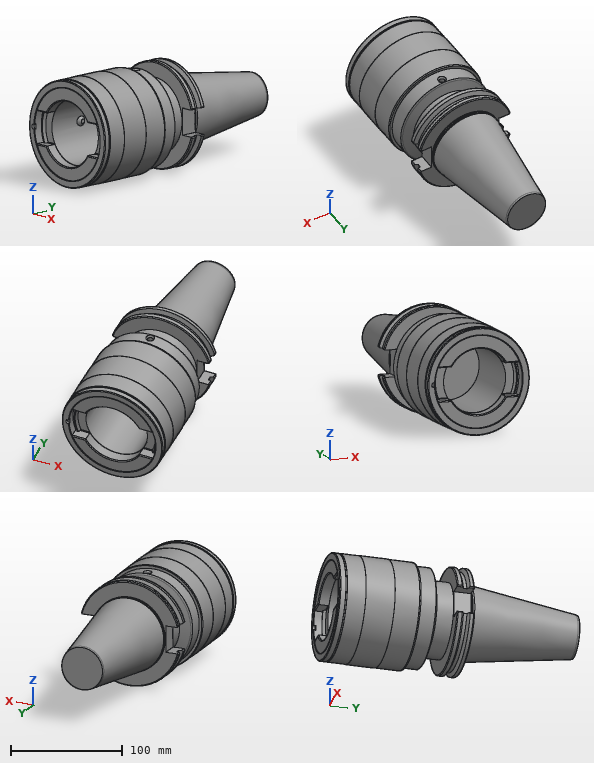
import cadquery as cq
import math

LENGTH = 230.2

BODY_RADIUS = 49.0
BODY_END = 75.3
NOSE_CHAMFER = 0.8
BODY_END_CHAMFER_LENGTH = 1.4
BODY_END_CHAMFER_DROP = 0.5
BAND_RADIUS = 49.3
BAND_START = 24.2
BAND_END = 51.0
RING_GROOVE_START = 5.5
RING_GROOVE_WIDTH = 1.4
RING_GROOVE_DEPTH = 0.35

COLLAR_RADIUS = 46.0
COLLAR_END = 89.8
SHOULDER_RADIUS = 44.6
SHOULDER_END = 90.7
NECK_RADIUS = 35.0
NECK_START = 93.7

FLANGE_RADIUS = 49.3
FLANGE_START = 109.0
FLANGE_END = 125.2
FLANGE_CHAMFER = 1.0
V_FLOOR_RADIUS = 45.5
V_FLOOR_START = 115.8
V_FLOOR_END = 119.0
V_HALF_ANGLE = 30.0
V_WALL_WIDTH = (FLANGE_RADIUS - V_FLOOR_RADIUS) * math.tan(math.radians(V_HALF_ANGLE))

DRIVE_HALF_WIDTH = 12.5
DRIVE_FLOOR = 35.5
DRIVE_CHAMFER = 1.4

TAPER_START = 128.7
TAPER_RADIUS = 35.0
TAPER_SLOPE = 7 / 24 / 2
TIP_CHAMFER_LENGTH = 1.8
TIP_CHAMFER_DROP = 0.5
RELIEF_RADIUS = 34.3
RELIEF_START = 126.5
RELIEF_END = 127.3
LIP_END = 126.0

BORE_RADIUS = 30.0
BORE_DEPTH = 73.6
PLATE_BORE_RADIUS = 30.1
PLATE_BORE_CHAMFER = 1.0
PLATE_RADIUS = 42.1
PLATE_GROOVE_WIDTH = 0.58

KEYWAY_DEPTH = 10.1
KEYWAY_HALF_WIDTH = 15.2
KEYWAY_CHAMFER = 1.0
KEYWAY_CORNER = 0.7
RIDGE_BASE_RADIUS = 37.7
RIDGE_TOP_INNER_RADIUS = 39.4
RIDGE_TOP_OUTER_RADIUS = 40.3
RIDGE_TOP_DEPTH = 7.4
RIDGE_BACK_DEPTH = 8.7

PIN_HOLE_RADIUS = 2.3
PIN_HOLE_PLACE = -42.8
PIN_HOLE_DEPTH = 2.3

TIP_REACH = 27.2
TIP_END_RADIUS = 2.0
TIP_BASE_RADIUS = 5.0
TIP_Y = 46.0

SCREW_Y = 85.5
SCREW_RADIUS = 2.5
COUNTERSINK_RADIUS = 4.0
COUNTERSINK_DEPTH = 1.8
SCREW_DEPTH = 5.8


def revolve_profile(points):
    """Revolve a closed outline of (radius, Y) points about the Y axis."""
    return cq.Workplane("XY").polyline(points).close().revolve(360, (0, 0, 0), (0, 1, 0))


def disc(radius, start, end):
    """Cylinder on the Y axis between two Y places."""
    return revolve_profile([(0, start), (radius, start), (radius, end), (0, end)])


def extrude_along_y(points, start, end):
    """Extrude a closed outline of (X, Z) points between two Y places."""
    outline = cq.Workplane("XZ", origin=(0, start, 0)).polyline(points).close()
    return outline.extrude(start - end)


def make_nose():
    groove_end = RING_GROOVE_START + RING_GROOVE_WIDTH
    groove_floor = BODY_RADIUS - RING_GROOVE_DEPTH
    return revolve_profile([
        (0, 0),
        (BODY_RADIUS - NOSE_CHAMFER, 0),
        (BODY_RADIUS, NOSE_CHAMFER),
        (BODY_RADIUS, RING_GROOVE_START),
        (groove_floor, RING_GROOVE_START),
        (groove_floor, groove_end),
        (BODY_RADIUS, groove_end),
        (BODY_RADIUS, BAND_START),
        (BAND_RADIUS, BAND_START),
        (BAND_RADIUS, BAND_END),
        (BODY_RADIUS, BAND_END),
        (BODY_RADIUS, BODY_END - BODY_END_CHAMFER_LENGTH),
        (BODY_RADIUS - BODY_END_CHAMFER_DROP, BODY_END),
        (COLLAR_RADIUS, BODY_END),
        (COLLAR_RADIUS, COLLAR_END),
        (SHOULDER_RADIUS, SHOULDER_END),
        (NECK_RADIUS, NECK_START),
        (NECK_RADIUS, FLANGE_START),
        (0, FLANGE_START),
    ])


def make_flange():
    chamfered_radius = FLANGE_RADIUS - FLANGE_CHAMFER
    flange = revolve_profile([
        (0, FLANGE_START),
        (chamfered_radius, FLANGE_START),
        (FLANGE_RADIUS, FLANGE_START + FLANGE_CHAMFER),
        (FLANGE_RADIUS, V_FLOOR_START - V_WALL_WIDTH),
        (V_FLOOR_RADIUS, V_FLOOR_START),
        (V_FLOOR_RADIUS, V_FLOOR_END),
        (FLANGE_RADIUS, V_FLOOR_END + V_WALL_WIDTH),
        (FLANGE_RADIUS, FLANGE_END - FLANGE_CHAMFER),
        (chamfered_radius, FLANGE_END),
        (0, FLANGE_END),
    ])
    rim = math.sqrt(FLANGE_RADIUS**2 - DRIVE_HALF_WIDTH**2)
    flare_start = rim - DRIVE_CHAMFER
    flare_end = FLANGE_RADIUS + DRIVE_CHAMFER
    flare_half_width = DRIVE_HALF_WIDTH + flare_end - flare_start
    for side in (-1, 1):
        slot = extrude_along_y([
            (side * DRIVE_FLOOR, -DRIVE_HALF_WIDTH),
            (side * flare_start, -DRIVE_HALF_WIDTH),
            (side * flare_end, -flare_half_width),
            (side * flare_end, flare_half_width),
            (side * flare_start, DRIVE_HALF_WIDTH),
            (side * DRIVE_FLOOR, DRIVE_HALF_WIDTH),
        ], FLANGE_START, FLANGE_END)
        flange = flange.cut(slot)
    return flange


def make_taper():
    """Taper with a relief groove and a narrow lip next to the flange."""
    chamfer_start = LENGTH - TIP_CHAMFER_LENGTH
    tip_radius = TAPER_RADIUS - TAPER_SLOPE * (chamfer_start - TAPER_START)
    return revolve_profile([
        (0, FLANGE_END),
        (TAPER_RADIUS, FLANGE_END),
        (TAPER_RADIUS, LIP_END),
        (RELIEF_RADIUS, RELIEF_START),
        (RELIEF_RADIUS, RELIEF_END),
        (TAPER_RADIUS, TAPER_START),
        (tip_radius, chamfer_start),
        (tip_radius - TIP_CHAMFER_DROP, LENGTH),
        (0, LENGTH),
    ])


def make_bore():
    return revolve_profile([
        (0, 0),
        (PLATE_BORE_RADIUS + PLATE_BORE_CHAMFER, 0),
        (PLATE_BORE_RADIUS, PLATE_BORE_CHAMFER),
        (PLATE_BORE_RADIUS, KEYWAY_DEPTH),
        (BORE_RADIUS, KEYWAY_DEPTH),
        (BORE_RADIUS, BORE_DEPTH),
        (0, BORE_DEPTH),
    ])


def make_plate_groove():
    """Fine groove in the nose face around the face plate."""
    return revolve_profile([
        (PLATE_RADIUS, 0),
        (PLATE_RADIUS + PLATE_GROOVE_WIDTH, 0),
        (PLATE_RADIUS, PLATE_GROOVE_WIDTH),
    ])


def make_keyways():
    """Keyways on both sides of the bore, chamfered at the mouth and in the floor corners."""
    mouth_half_width = KEYWAY_HALF_WIDTH + KEYWAY_CHAMFER
    floor_half_width = KEYWAY_HALF_WIDTH - KEYWAY_CORNER
    corner_start = KEYWAY_DEPTH - KEYWAY_CORNER
    channel = (
        cq.Workplane("YZ", origin=(-PLATE_RADIUS, 0, 0))
        .polyline([
            (0, -mouth_half_width),
            (KEYWAY_CHAMFER, -KEYWAY_HALF_WIDTH),
            (corner_start, -KEYWAY_HALF_WIDTH),
            (KEYWAY_DEPTH, -floor_half_width),
            (KEYWAY_DEPTH, floor_half_width),
            (corner_start, KEYWAY_HALF_WIDTH),
            (KEYWAY_CHAMFER, KEYWAY_HALF_WIDTH),
            (0, mouth_half_width),
        ])
        .close()
        .extrude(2 * PLATE_RADIUS)
    )
    ridge = revolve_profile([
        (RIDGE_BASE_RADIUS, KEYWAY_DEPTH),
        (RIDGE_TOP_INNER_RADIUS, RIDGE_TOP_DEPTH),
        (RIDGE_TOP_OUTER_RADIUS, RIDGE_TOP_DEPTH),
        (RIDGE_TOP_OUTER_RADIUS, RIDGE_BACK_DEPTH),
        (PLATE_RADIUS, RIDGE_BACK_DEPTH),
        (PLATE_RADIUS, KEYWAY_DEPTH),
    ])
    return channel.intersect(disc(PLATE_RADIUS, 0, KEYWAY_DEPTH)).cut(ridge)


def make_pin_hole():
    place = cq.Workplane("XZ", origin=(PIN_HOLE_PLACE, 0, 0))
    return place.circle(PIN_HOLE_RADIUS).extrude(-PIN_HOLE_DEPTH)


def make_screw_tip():
    """Truncated 45 degree cone standing inward from the -X wall of the bore."""
    height = TIP_BASE_RADIUS - TIP_END_RADIUS
    cone = cq.Solid.makeCone(
        TIP_BASE_RADIUS,
        TIP_END_RADIUS,
        height,
        cq.Vector(-TIP_REACH - height, TIP_Y, 0),
        cq.Vector(1, 0, 0),
    )
    return cq.Workplane(cone)


def make_screw_hole():
    profile = [
        (0, COLLAR_RADIUS - SCREW_DEPTH),
        (SCREW_RADIUS, COLLAR_RADIUS - SCREW_DEPTH),
        (SCREW_RADIUS, COLLAR_RADIUS - COUNTERSINK_DEPTH),
        (COUNTERSINK_RADIUS, COLLAR_RADIUS),
        (0, COLLAR_RADIUS),
    ]
    hole = cq.Workplane("XZ", origin=(0, SCREW_Y, 0)).polyline(profile).close()
    return hole.revolve(360, (0, 0, 0), (0, 1, 0))


holder = make_nose().union(make_flange()).union(make_taper())
holder = holder.cut(make_bore()).cut(make_plate_groove()).cut(make_keyways())
holder = holder.cut(make_pin_hole()).cut(make_screw_hole())
result = holder.union(make_screw_tip())